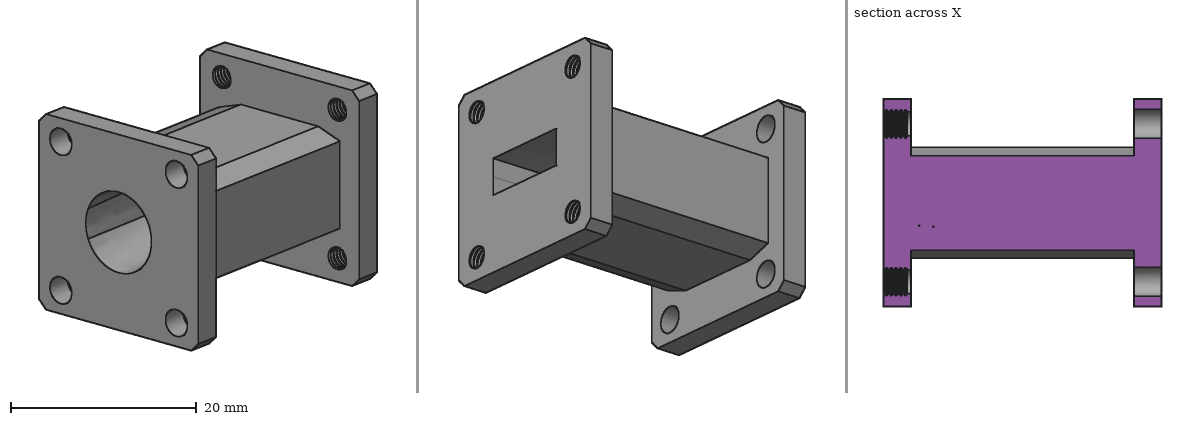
import cadquery as cq

length = 30.0
flange_side = 22.4
flange_thickness = 3.0
flange_chamfer = 1.0

body_width = 17.0
body_height = 12.0
body_flat_width = 10.9
body_flat_height = 10.0

bore_diameter = 9.25
guide_width = 10.68
guide_height = 4.32

hole_spacing_x = 16.25
hole_spacing_z = 17.0
clearance_diameter = 3.05
thread_minor_diameter = 2.52
thread_major_diameter = 3.0
thread_pitch = 0.5
thread_turns = 5
thread_lead_in = 0.42
thread_crest_width = thread_pitch / 4
thread_root_width = thread_pitch / 8

front_y = -length / 2
rear_y = length / 2
rear_flange_y = rear_y - flange_thickness


def section(y):
    """Sketching plane across the axis at y, with X across and Z up."""
    return cq.Workplane("XZ", origin=(0, y, 0))


def flange(y):
    """Square plate with chamfered corners, reaching from y toward the rear."""
    plate = section(y).rect(flange_side, flange_side).extrude(-flange_thickness)
    return plate.edges("|Y").chamfer(flange_chamfer)


def body():
    """Rectangular bar whose four long edges are cut to slanted faces."""
    half_width = body_width / 2
    half_height = body_height / 2
    half_flat_width = body_flat_width / 2
    half_flat_height = body_flat_height / 2
    outline = [
        (half_width, -half_flat_height),
        (half_width, half_flat_height),
        (half_flat_width, half_height),
        (-half_flat_width, half_height),
        (-half_width, half_flat_height),
        (-half_width, -half_flat_height),
        (-half_flat_width, -half_height),
        (half_flat_width, -half_height),
    ]
    return section(front_y).polyline(outline).close().extrude(-length)


def bore():
    """Transition from the round front opening to the rectangular rear opening."""
    return (
        section(front_y)
        .circle(bore_diameter / 2)
        .workplane(offset=-length)
        .rect(guide_width, guide_height)
        .loft()
    )


def clearance_hole():
    """Plain screw hole along +Y from the origin."""
    return section(0).circle(clearance_diameter / 2).extrude(-flange_thickness)


def threaded_hole():
    """Threaded hole along +Y from the origin, with each thread turn as a V-shaped ring groove."""
    minor_radius = thread_minor_diameter / 2
    major_radius = thread_major_diameter / 2
    groove_rise = (thread_pitch - thread_crest_width - thread_root_width) / 2
    profile = cq.Workplane("XY").moveTo(0, 0).lineTo(minor_radius, 0)
    for turn in range(thread_turns):
        start = thread_lead_in + turn * thread_pitch
        profile = (
            profile.lineTo(minor_radius, start)
            .lineTo(major_radius, start + groove_rise)
            .lineTo(major_radius, start + groove_rise + thread_root_width)
            .lineTo(minor_radius, start + 2 * groove_rise + thread_root_width)
        )
    profile = profile.lineTo(minor_radius, flange_thickness).lineTo(0, flange_thickness).close()
    return profile.revolve(360, (0, 0, 0), (0, 1, 0))


result = body().union(flange(front_y)).union(flange(rear_flange_y))
result = result.cut(bore())

for x in (-hole_spacing_x / 2, hole_spacing_x / 2):
    for z in (-hole_spacing_z / 2, hole_spacing_z / 2):
        result = result.cut(clearance_hole().translate((x, front_y, z)))
        result = result.cut(threaded_hole().translate((x, rear_flange_y, z)))